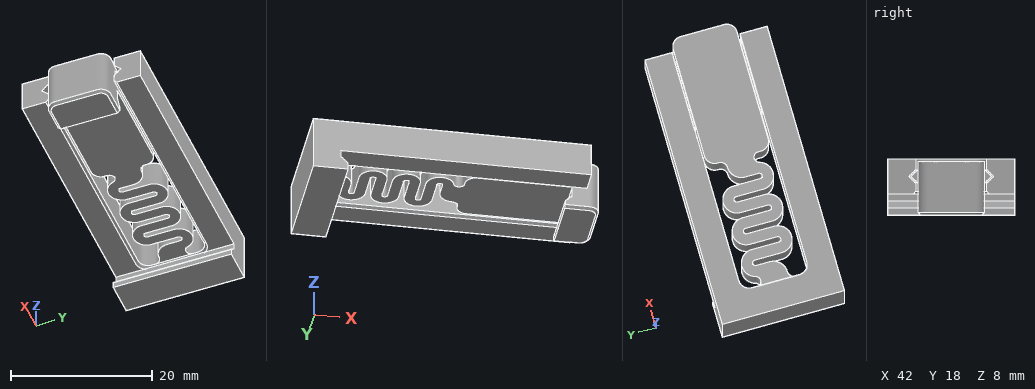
import cadquery as cq
import math

frame_length = 40.0
frame_width = 18.0
frame_height = 8.0
arm_bottom = 3.0
slot_width = 10.0
slot_start = 4.0
slot_corner_radius = 1.5
slot_chamfer = 0.4

lip_reach = 1.0
lip_slope_top = 2.0
lip_slope_bottom = lip_slope_top - lip_reach
rail_width = 34.0

slider_end = 42.0
slider_start = 22.85
slider_side_gap = 0.3
slider_width = slot_width - 2 * slider_side_gap
height_clearance = 0.4
slider_bottom = arm_bottom + height_clearance
slider_top = frame_height - height_clearance
slider_corner_radius = 1.5
jaw_chamfer = 0.4
jaw_wall = slot_start + rail_width

bend_count = 6
leg_width = 1.6
leg_gap = 0.8
bend_pitch = leg_width + leg_gap
bend_inner_radius = leg_gap / 2
bend_outer_radius = bend_inner_radius + leg_width
bend_height = 2.0
spring_middle = (slot_start + slider_start) / 2
first_bend_x = spring_middle - (bend_count - 1) * bend_pitch / 2
root_half_width = bend_height
root_fillet = 1.0

ridge_start = 29.0
ridge_end = 38.9
ridge_reach = 1.0
guide_height = (arm_bottom + frame_height) / 2


def extrude_between(sketch, bottom, top):
    """Extrude a sketch drawn on the XY plane so that it fills bottom to top."""
    return sketch.extrude(top - bottom).translate((0, 0, bottom))


def plate(x_start, x_end, width, bottom, top):
    """Rectangular plate centred on the X axis."""
    sketch = cq.Workplane("XY").center((x_start + x_end) / 2, 0).rect(x_end - x_start, width)
    return extrude_between(sketch, bottom, top)


def hook(wall_x, back_x, direction, width, top):
    """Jaw that rises from the base to the given top; its lip points along X in the given direction."""
    lip_x = wall_x + direction * lip_reach
    outline = [
        (back_x, 0),
        (lip_x, 0),
        (lip_x, lip_slope_bottom),
        (wall_x, lip_slope_top),
        (wall_x, top),
        (back_x, top),
    ]
    return cq.Workplane("XZ").polyline(outline).close().extrude(width / 2, both=True)


def vee_bar(side, base_y, reach, x_start, x_end):
    """Triangular bar along X with 45 degree flanks, pointing away from the middle."""
    outline = [
        (side * base_y, guide_height - reach),
        (side * (base_y + reach), guide_height),
        (side * base_y, guide_height + reach),
    ]
    bar = cq.Workplane("YZ").polyline(outline).close().extrude(x_end - x_start)
    return bar.translate((x_start, 0, 0))


def make_frame():
    frame = plate(0, frame_length, frame_width, arm_bottom, frame_height)
    slot = plate(slot_start, frame_length + slot_corner_radius, slot_width, arm_bottom, frame_height)
    frame = frame.cut(slot.edges("|Z and <X").fillet(slot_corner_radius))
    slot_edges = cq.selectors.BoxSelector(
        (slot_start + slot_corner_radius, -slot_width / 2 - slot_chamfer, arm_bottom - slot_chamfer),
        (frame_length - slot_chamfer, slot_width / 2 + slot_chamfer, arm_bottom + slot_chamfer),
    )
    frame = frame.faces("<Z").edges("|X").edges(slot_edges).chamfer(slot_chamfer)
    for side in (-1, 1):
        groove_start = ridge_start - slider_side_gap
        frame = frame.cut(vee_bar(side, slot_width / 2, ridge_reach, groove_start, frame_length))
    return frame.union(hook(slot_start, 0, 1, frame_width, arm_bottom))


def make_slider():
    slider = plate(slider_start, slider_end, slider_width, slider_bottom, slider_top)
    slider = slider.union(hook(jaw_wall, slider_end, -1, slider_width, slider_bottom))
    slider = slider.edges("|Z and >X").fillet(slider_corner_radius)
    left_corners = cq.selectors.BoxSelector(
        (slider_start - 1, -frame_width, slider_bottom),
        (slider_start + 1, frame_width, slider_top),
    )
    slider = slider.edges("|Z").edges(left_corners).fillet(slider_corner_radius)
    slider = slider.faces("<Z").edges("not <X").chamfer(jaw_chamfer)
    for side in (-1, 1):
        slider = slider.union(vee_bar(side, slider_width / 2, ridge_reach, ridge_start, ridge_end))
    return slider


def make_bend(x, side):
    """Half ring that closes two neighbouring legs on the given side."""
    y = side * bend_height
    sketch = (
        cq.Workplane("XY")
        .moveTo(x - bend_outer_radius, y)
        .threePointArc((x, y + side * bend_outer_radius), (x + bend_outer_radius, y))
        .lineTo(x + bend_inner_radius, y)
        .threePointArc((x, y + side * bend_inner_radius), (x - bend_inner_radius, y))
        .close()
    )
    return extrude_between(sketch, slider_bottom, slider_top)


def make_leg(x):
    return plate(x - leg_width / 2, x + leg_width / 2, 2 * bend_height, slider_bottom, slider_top)


def make_root():
    """Neck that joins the closed end of the frame to the first bend."""
    first_leg_face = first_bend_x - bend_inner_radius
    fillet_x = slot_start + root_fillet
    fillet_y = -root_half_width - root_fillet
    turn_radius = first_leg_face - fillet_x
    turn_y = turn_radius - root_half_width
    diagonal = math.sqrt(0.5)

    run = first_bend_x - slot_start
    half_sum = run + bend_outer_radius
    notch_radius = half_sum - math.sqrt(half_sum**2 - run**2 + bend_outer_radius**2)
    notch_x = slot_start + notch_radius
    notch_y = root_half_width + notch_radius
    share = notch_radius / (notch_radius + bend_outer_radius)
    tangent_point = (
        notch_x + share * (first_bend_x - notch_x),
        notch_y + share * (bend_height - notch_y),
    )

    sketch = (
        cq.Workplane("XY")
        .moveTo(slot_start, fillet_y)
        .threePointArc(
            (fillet_x - root_fillet * diagonal, fillet_y + root_fillet * diagonal),
            (fillet_x, -root_half_width),
        )
        .threePointArc(
            (fillet_x + turn_radius * diagonal, turn_y - turn_radius * diagonal),
            (first_leg_face, turn_y),
        )
        .lineTo(first_leg_face, bend_height)
        .lineTo(*tangent_point)
        .threePointArc((notch_x, root_half_width), (slot_start, notch_y))
        .close()
    )
    return extrude_between(sketch, slider_bottom, slider_top)


def make_spring():
    root = make_root()
    spring = root.union(root.rotate((spring_middle, 0, 0), (spring_middle, 0, 1), 180))
    for index in range(bend_count):
        bend_x = first_bend_x + index * bend_pitch
        spring = spring.union(make_bend(bend_x, 1 if index % 2 == 0 else -1))
        if index > 0:
            spring = spring.union(make_leg(bend_x - bend_pitch / 2))
    return spring


result = make_frame().union(make_slider()).union(make_spring()).clean()